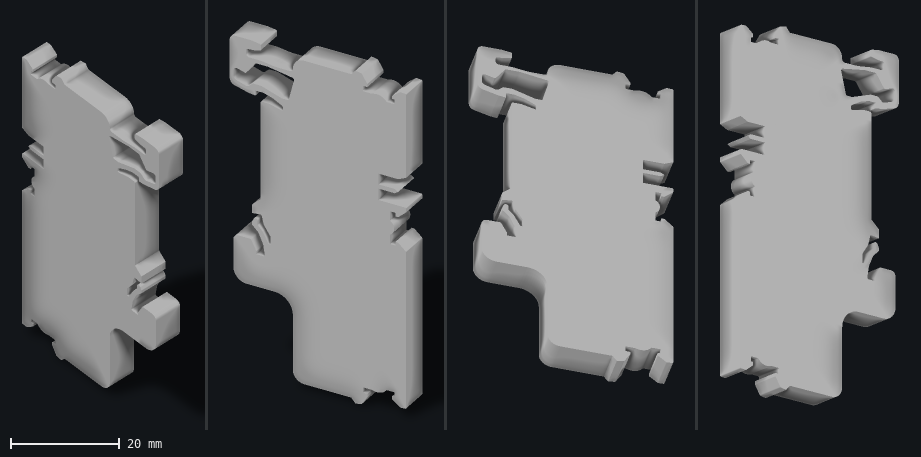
import cadquery as cq
import math


WIDTH = 37.4
HEIGHT = 70.8
THICKNESS = 6.0
HALF_THICKNESS = THICKNESS / 2

TOP_EDGE = 69.7
BOTTOM_EDGE = 1.0
MIDDLE = (TOP_EDGE + BOTTOM_EDGE) / 2
BODY_RIGHT = 24.0
UPPER_RIGHT = 30.9
CATCH_RIGHT = 32.65
FOOT_RIGHT = 36.6
FOOT_BOTTOM = 18.8
FOOT_TOP = 28.6
BODY_CORNER_RADIUS = 2.4
FOOT_CORNER_RADIUS = 2.8
FOOT_INNER_RADIUS = 3.8

SLOT_DEPTH = 5.8
SLOT_TOP = 50.2
SLOT_BOTTOM = 44.6
TONGUE_TIP = 1.7
TONGUE_ROOT = 2.4
TONGUE_TOP = 47.9
TONGUE_BOTTOM = 47.0

CLIP_MIDDLE = 39.45


def mirrored(corners, axis_z):
    """Mirrored copy of a corner list about a level, in reverse order."""
    return [(x, 2 * axis_z - z, radius) for x, z, radius in reversed(corners)]


def end_profile():
    """Upper end of the plate from left to right: lip, recess with a round hump, and hooked bump."""
    return [
        (0, 68.75, 0.2),
        (1.3, 68.8, 0.3),
        (3.0, 67.55, 0.2),
        (3.0, 66.9, 0),
        (2.4, 66.9, 0),
        (2.4, 65.9, 0),
        (4.1, 65.9, 0),
        (5.4, 67.25, 2.5),
        (7.3, 66.75, 0),
        (9.1, 66.75, 0.2),
        (9.1, 67.9, 0),
        (8.2, 67.9, 0),
        (8.2, 68.5, 0.2),
        (9.4, 70.45, 0.3),
        (10.75, 70.65, 0),
        (11.6, TOP_EDGE, 0),
    ]


def lever_profile():
    """Marker lever at the upper right, from the body's top corner round to the gap below the lever."""
    return [
        (BODY_RIGHT, TOP_EDGE, BODY_CORNER_RADIUS),
        (BODY_RIGHT, 66.6, 0.6),
        (27.9, 66.6, 14.15),
        (30.6, 67.05, 9.9),
        (33.9, 67.05, 0.65),
        (33.9, 68.75, 0.4),
        (32.4, 68.8, 0.35),
        (30.8, 69.2, 0.2),
        (30.8, 70.5, 0.3),
        (32.7, HEIGHT, 0),
        (WIDTH, HEIGHT, 1.05),
        (WIDTH, 60.5, 1.4),
        (33.3, 59.5, 0),
        (31.9, 59.3, 0),
        (31.9, 60.4, 0.15),
        (30.3, 60.4, 1.4),
        (28.3, 59.8, 1.4),
        (26.1, 58.7, 0.4),
        (26.1, 57.7, 0.2),
        (29.0, 58.4, 0.7),
        (UPPER_RIGHT, 58.4, 0.3),
    ]


def catch_profile():
    """Catch on the right edge, the slot under it, the spring finger and the foot's hook."""
    return [
        (UPPER_RIGHT, 37.5, 0),
        (CATCH_RIGHT, 36.0, 0),
        (CATCH_RIGHT, 34.2, 0),
        (30.65, 34.4, 0.2),
        (30.15, 32.4, 0.7),
        (28.75, 30.3, 0.2),
        (28.75, 28.6, 0),
        (29.2, 28.6, 0.2),
        (30.45, 30.95, 0.7),
        (31.4, 32.0, 0.35),
        (31.4, 33.3, 0.4),
        (32.2, 33.3, 0.4),
        (CATCH_RIGHT, 32.4, 0.3),
        (CATCH_RIGHT, 31.7, 0.2),
        (31.3, 30.45, 1.05),
        (30.3, 28.25, 0.7),
        (29.9, 25.7, 0.3),
        (31.7, 25.7, 0),
        (31.7, 26.35, 0.35),
        (32.9, FOOT_TOP, 0.3),
    ]


def foot_profile():
    """Foot at the lower right and the lower body corner."""
    return [
        (FOOT_RIGHT, FOOT_TOP, 1.05),
        (FOOT_RIGHT, FOOT_BOTTOM, FOOT_CORNER_RADIUS),
        (BODY_RIGHT, FOOT_BOTTOM, FOOT_INNER_RADIUS),
        (BODY_RIGHT, BOTTOM_EDGE, BODY_CORNER_RADIUS),
    ]


def clip_profile():
    """Clip recess in the left edge, with a round hump halfway up, from lower lip to upper lip."""
    lower_half = [
        (0, CLIP_MIDDLE - 4.2, 0.2),
        (1.7, CLIP_MIDDLE - 2.7, 0),
        (2.3, CLIP_MIDDLE - 2.7, 0),
        (2.3, CLIP_MIDDLE - 3.5, 0),
        (3.4, CLIP_MIDDLE - 3.5, 0),
        (3.4, CLIP_MIDDLE - 1.5, 0),
    ]
    hump = (1.3, CLIP_MIDDLE, 1.7)
    return lower_half + [hump] + mirrored(lower_half, CLIP_MIDDLE)


def slot_profile():
    """Two open slots in the left edge and the pointed tongue between them, going up."""
    tongue_middle = (TONGUE_TOP + TONGUE_BOTTOM) / 2
    return [
        (0, SLOT_BOTTOM, 0.2),
        (SLOT_DEPTH, SLOT_BOTTOM, 0),
        (SLOT_DEPTH, TONGUE_BOTTOM, 0),
        (TONGUE_ROOT, TONGUE_BOTTOM, 0),
        (TONGUE_TIP, tongue_middle, 0),
        (TONGUE_ROOT, TONGUE_TOP, 0),
        (SLOT_DEPTH, TONGUE_TOP, 0),
        (SLOT_DEPTH, SLOT_TOP, 0),
        (1.7, SLOT_TOP, 0),
        (0, 51.0, 0),
    ]


def lever_window_profile():
    """Opening between the lever's two arms."""
    return [
        (23.65, 65.3, 0.4),
        (29.3, 66.2, 1.4),
        (32.0, 66.2, 0.35),
        (34.0, 63.5, 0.3),
        (36.5, 64.2, 0.6),
        (36.5, 61.7, 0.85),
        (33.6, 60.75, 0.6),
        (32.4, 61.75, 0.35),
        (30.7, 61.75, 1.4),
        (26.35, 60.3, 0.7),
        (24.9, 60.3, 0.2),
    ]


def rounded_prism(corners):
    """Prism from Y = 0 to -HALF_THICKNESS over a closed outline with rounded corners."""
    stretches = []
    for i, (x, z, radius) in enumerate(corners):
        corner = cq.Vector(x, z)
        if radius == 0:
            stretches.append((corner, corner, corner))
            continue
        before = corners[i - 1]
        after = corners[(i + 1) % len(corners)]
        to_before = (cq.Vector(before[0], before[1]) - corner).normalized()
        to_after = (cq.Vector(after[0], after[1]) - corner).normalized()
        half_angle = to_before.getAngle(to_after) / 2
        setback = radius / math.tan(half_angle)
        bulge = radius / math.sin(half_angle) - radius
        inward = (to_before + to_after).normalized()
        stretches.append(
            (corner + to_before * setback, corner + inward * bulge, corner + to_after * setback)
        )

    start = stretches[0][2]
    outline = cq.Workplane("XZ").moveTo(start.x, start.y)
    for arc_start, arc_middle, arc_end in stretches[1:] + stretches[:1]:
        outline = outline.lineTo(arc_start.x, arc_start.y)
        if arc_start != arc_end:
            outline = outline.threePointArc((arc_middle.x, arc_middle.y), (arc_end.x, arc_end.y))
    return outline.close().extrude(HALF_THICKNESS)


def half_plate(side):
    """One half of the block, lying on the -Y side (side = -1) or the +Y side (side = 1) of Y = 0."""
    upper_end = end_profile()
    outline = (
        upper_end
        + lever_profile()
        + catch_profile()
        + foot_profile()
        + mirrored(upper_end, MIDDLE)
        + clip_profile()
        + slot_profile()
    )
    plate = rounded_prism(outline).cut(rounded_prism(lever_window_profile()))
    if side > 0:
        plate = plate.translate((0, HALF_THICKNESS, 0))
    return plate


half_plates = [half_plate(side).solids().val() for side in (-1, 1)]
result = cq.Compound.makeCompound(half_plates)